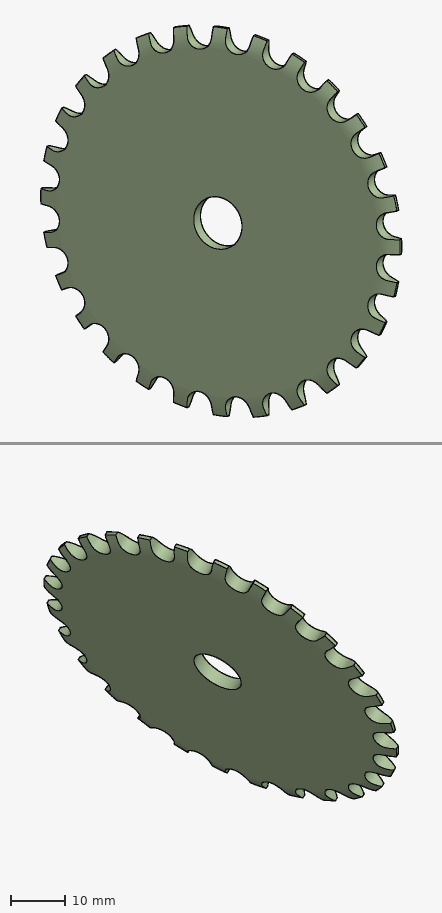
import cadquery as cq
import math

tooth_count = 28
outer_radius = 37.4
thickness = 2.8
bore_diameter = 10.0
seat_radius = 2.55
root_radius = 33.2
tip_thickness = 0.75
crown_radius = 8.0

tooth_pitch_angle = 360 / tooth_count
half_pitch_angle = math.radians(tooth_pitch_angle / 2)
seat_center_radius = root_radius + seat_radius

cutter_start = (0, thickness, 0)
cutter_length = 2 * thickness


def crowned_disc():
    """Solid disc whose rim narrows through tangent arcs to a thin flat tip."""
    half_thickness = thickness / 2
    half_tip = tip_thickness / 2
    crown_drop = half_thickness - half_tip
    crown_height = math.sqrt(crown_radius**2 - (crown_radius - crown_drop) ** 2)
    face_radius = outer_radius - crown_height

    half_sweep = math.asin(crown_height / crown_radius) / 2
    mid_radius = face_radius + crown_radius * math.sin(half_sweep)
    mid_half_thickness = half_thickness - crown_radius * (1 - math.cos(half_sweep))

    return (
        cq.Workplane("XY")
        .moveTo(0, -half_thickness)
        .lineTo(face_radius, -half_thickness)
        .threePointArc((mid_radius, -mid_half_thickness), (outer_radius, -half_tip))
        .lineTo(outer_radius, half_tip)
        .threePointArc((mid_radius, mid_half_thickness), (face_radius, half_thickness))
        .lineTo(0, half_thickness)
        .close()
        .revolve(360, (0, 0, 0), (0, 1, 0))
    )


def tooth_gap(angle):
    """Cutter for one roller seat, opening outward along the centrelines of the adjacent teeth."""
    flank_x = seat_radius * math.cos(half_pitch_angle)
    flank_z = seat_center_radius - seat_radius * math.sin(half_pitch_angle)
    top_z = outer_radius + seat_radius
    top_x = flank_x + (top_z - flank_z) * math.tan(half_pitch_angle)

    return (
        cq.Workplane("XZ", origin=cutter_start)
        .moveTo(-top_x, top_z)
        .lineTo(-flank_x, flank_z)
        .threePointArc((0, root_radius), (flank_x, flank_z))
        .lineTo(top_x, top_z)
        .close()
        .extrude(cutter_length)
        .rotate((0, 0, 0), (0, 1, 0), angle)
    )


bore = cq.Workplane("XZ", origin=cutter_start).circle(bore_diameter / 2).extrude(cutter_length)
result = crowned_disc().cut(bore)

for index in range(tooth_count):
    result = result.cut(tooth_gap((index + 0.5) * tooth_pitch_angle))